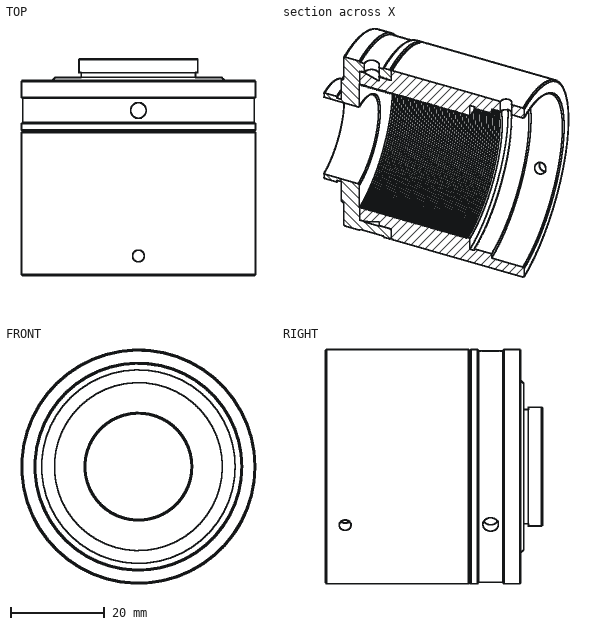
import cadquery as cq
import math


TOTAL_LENGTH = 46.27
OUTER_DIAMETER = 50.0
EDGE_CHAMFER = 0.3
SEAM_Y = 30.75
SPIGOT_DIAMETER = 44.0
SPIGOT_END_Y = 38.0
HOLE_ANGLES = (90, 210, 330)

BAND_DIAMETER = 49.4
RIM_WIDTH = 1.9
FLANGE_WIDTH = 3.9
FLANGE_REAR_Y = TOTAL_LENGTH - 4.6
BOSS_DIAMETER = 36.7
BOSS_HEIGHT = 0.6
NECK_DIAMETER = 24.4
THREAD_DIAMETER = 25.4
THREAD_LENGTH = 3.0
THREAD_CHAMFER = 0.25
APERTURE_DIAMETER = 22.5
RING_HOLE_DIAMETER = 3.3
RIM_END_Y = SEAM_Y + RIM_WIDTH
BAND_END_Y = FLANGE_REAR_Y - FLANGE_WIDTH
RING_HOLE_Y = (RIM_END_Y + BAND_END_Y) / 2

MOUTH_DIAMETER = 43.8
MOUTH_DEPTH = 7.5
SEAT_DIAMETER = 41.25
SEAT_FLOOR_Y = 12.5
UNDERCUT_DIAMETER = 42.25
UNDERCUT_WIDTH = 1.0
BAFFLE_DIAMETER = 35.8
BAFFLE_LAND = 0.5
BAFFLE_PITCH = 0.5
BAFFLE_ANGLE = 30
BAFFLE_DEPTH = BAFFLE_PITCH * math.tan(math.radians(BAFFLE_ANGLE))
SLEEVE_HOLE_DIAMETER = 2.5
SLEEVE_HOLE_Y = 4.2

GROOVE_ANGLE = 20
GROOVE_WIDTH = RING_HOLE_DIAMETER
GROOVE_DEPTH = GROOVE_WIDTH * math.tan(math.radians(GROOVE_ANGLE))


def revolve_about_y(points):
    """Turn a closed (radius, y) outline into a solid about the Y axis."""
    return cq.Workplane("XY").polyline(points).close().revolve(360, (0, 0, 0), (0, 1, 0))


def radial_holes(diameter, y):
    """Drills from the Y axis out past the body, one at each hole angle."""
    drill = cq.Workplane("YZ", origin=(0, y, 0)).circle(diameter / 2).extrude(OUTER_DIAMETER)
    drills = cq.Workplane("XY")
    for angle in HOLE_ANGLES:
        drills = drills.add(drill.rotate((0, 0, 0), (0, 1, 0), -angle))
    return drills.combine()


def baffle_points():
    """Sawtooth outline of the ridged bore, from the seat floor to the spigot end.

    Each tooth slopes outward toward the rear, then steps straight back to the crest.
    """
    crest = BAFFLE_DIAMETER / 2
    first_tooth_y = SEAT_FLOOR_Y + BAFFLE_LAND
    tooth_count = round((SPIGOT_END_Y - first_tooth_y) / BAFFLE_PITCH)
    points = [(crest, SEAT_FLOOR_Y), (crest, first_tooth_y)]
    for tooth in range(1, tooth_count + 1):
        tooth_end_y = first_tooth_y + tooth * BAFFLE_PITCH
        points.append((crest + BAFFLE_DEPTH, tooth_end_y))
        points.append((crest, tooth_end_y))
    return points


def make_sleeve():
    outer = OUTER_DIAMETER / 2
    mouth = MOUTH_DIAMETER / 2
    seat = SEAT_DIAMETER / 2
    undercut = UNDERCUT_DIAMETER / 2
    spigot = SPIGOT_DIAMETER / 2
    undercut_start = SEAT_FLOOR_Y - UNDERCUT_WIDTH
    groove_rear = RING_HOLE_Y + GROOVE_WIDTH / 2
    groove_front = RING_HOLE_Y - GROOVE_WIDTH / 2
    outline = [
        (spigot, SPIGOT_END_Y),
        (spigot, groove_rear),
        (spigot - GROOVE_DEPTH, groove_front),
        (spigot, groove_front),
        (spigot, SEAM_Y),
        (outer - EDGE_CHAMFER, SEAM_Y),
        (outer, SEAM_Y - EDGE_CHAMFER),
        (outer, EDGE_CHAMFER),
        (outer - EDGE_CHAMFER, 0),
        (mouth + EDGE_CHAMFER, 0),
        (mouth, EDGE_CHAMFER),
        (mouth, MOUTH_DEPTH),
        (seat, MOUTH_DEPTH),
        (seat, undercut_start),
        (undercut, undercut_start),
        (undercut, SEAT_FLOOR_Y),
    ]
    body = revolve_about_y(outline + baffle_points())
    return body.cut(radial_holes(SLEEVE_HOLE_DIAMETER, SLEEVE_HOLE_Y))


def make_mount_ring():
    outer = OUTER_DIAMETER / 2
    band = BAND_DIAMETER / 2
    band_step = outer - band
    socket = SPIGOT_DIAMETER / 2
    boss = BOSS_DIAMETER / 2
    neck = NECK_DIAMETER / 2
    thread = THREAD_DIAMETER / 2
    aperture = APERTURE_DIAMETER / 2
    boss_end = FLANGE_REAR_Y + BOSS_HEIGHT
    thread_start = TOTAL_LENGTH - THREAD_LENGTH
    outline = [
        (aperture + EDGE_CHAMFER, SPIGOT_END_Y),
        (socket, SPIGOT_END_Y),
        (socket, SEAM_Y),
        (outer - EDGE_CHAMFER, SEAM_Y),
        (outer, SEAM_Y + EDGE_CHAMFER),
        (outer, RIM_END_Y - band_step),
        (band, RIM_END_Y),
        (band, BAND_END_Y),
        (outer, BAND_END_Y + band_step),
        (outer, FLANGE_REAR_Y - EDGE_CHAMFER),
        (outer - EDGE_CHAMFER, FLANGE_REAR_Y),
        (boss, FLANGE_REAR_Y),
        (boss - BOSS_HEIGHT, boss_end),
        (neck, boss_end),
        (neck, thread_start),
        (thread, thread_start),
        (thread, TOTAL_LENGTH - THREAD_CHAMFER),
        (thread - THREAD_CHAMFER, TOTAL_LENGTH),
        (aperture, TOTAL_LENGTH),
        (aperture, SPIGOT_END_Y + EDGE_CHAMFER),
    ]
    return revolve_about_y(outline).cut(radial_holes(RING_HOLE_DIAMETER, RING_HOLE_Y))


sleeve = make_sleeve()
mount_ring = make_mount_ring()

result = cq.Compound.makeCompound([sleeve.solids().val(), mount_ring.solids().val()])